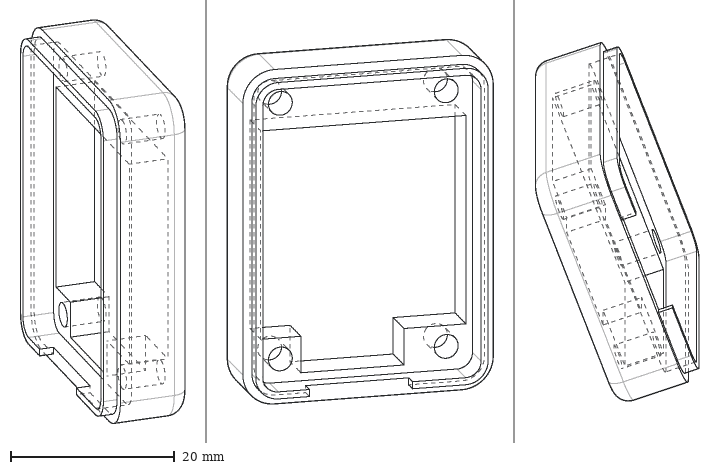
import cadquery as cq

width = 31.7
depth = 10.8
height = 42.5
corner_radius = 4.0
back_fillet = 2.0

lip_height = 1.8
lip_inset = 1.15
cavity_inset = 2.05
cavity_depth = 4.0

recess_depth = 5.0
recess_width = 25.95
recess_top = 12.9
recess_bottom = -13.55
notch_left = -7.9
notch_right = 5.15
notch_bottom = -18.2

hole_diameter = 3.0
hole_depth = recess_depth
hole_spacing_x = 21.0
hole_spacing_z = 32.45

front_y = -depth / 2
shoulder_y = front_y + lip_height
cavity_floor_y = front_y + cavity_depth


def rounded_block(inset, start_y, length):
    """Rounded rectangle inset from the outer outline, extruded toward +Y."""
    return (
        cq.Workplane("XZ", origin=(0, start_y, 0))
        .rect(width - 2 * inset, height - 2 * inset)
        .extrude(-length)
        .edges("|Y")
        .fillet(corner_radius - inset)
    )


def box_between(left, right, bottom, top, start_y, length):
    """Square-cornered block between X and Z limits, extruded toward +Y."""
    return (
        cq.Workplane("XZ", origin=(0, start_y, 0))
        .moveTo((left + right) / 2, (bottom + top) / 2)
        .rect(right - left, top - bottom)
        .extrude(-length)
    )


body = rounded_block(0, shoulder_y, depth - lip_height).faces(">Y").edges().fillet(back_fillet)
body = body.union(rounded_block(lip_inset, front_y, depth / 2))
body = body.cut(rounded_block(cavity_inset, front_y, cavity_depth))

body = body.cut(
    box_between(-recess_width / 2, recess_width / 2, recess_bottom, recess_top, cavity_floor_y, recess_depth)
)
body = body.cut(
    box_between(notch_left, notch_right, notch_bottom, recess_top, cavity_floor_y, recess_depth)
)

body = body.cut(
    box_between(notch_left, notch_right, -height / 2, -height / 2 + cavity_inset, front_y, lip_height)
)

screw_holes = (
    cq.Workplane("XZ", origin=(0, cavity_floor_y, 0))
    .rect(hole_spacing_x, hole_spacing_z, forConstruction=True)
    .vertices()
    .circle(hole_diameter / 2)
    .extrude(-hole_depth)
)
result = body.cut(screw_holes)